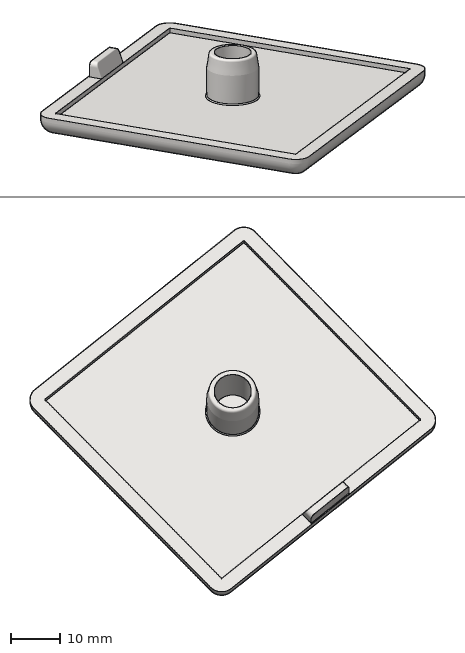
import cadquery as cq

plate_side = 60.0
plate_thickness = 4.0
edge_radius = 3.0
rim_width = 3.0
recess_depth = 1.0
floor_z = plate_thickness - recess_depth

total_height = 12.5
post_radius = 5.3
bore_radius = 7.5 / 2
foot_flare = 0.25
taper_start_z = 9.3
tip_radius = 4.85
lip_round = 0.5

tab_width = 10.3
tab_height = 3.2
tab_top_z = plate_thickness + tab_height
tab_setback = 0.25
tab_top_length = 1.6
tab_corner_radius = 1.0
tab_tip_round = 0.25


def make_plate():
    """Plate with a rounded underside and a shallow square recess on top."""
    blank = cq.Workplane("XY").box(plate_side, plate_side, plate_thickness, centered=(True, True, False))
    rounded = blank.edges("|Z").fillet(edge_radius).faces("<Z").edges().fillet(edge_radius)
    recess_side = plate_side - 2 * rim_width
    recess = (
        cq.Workplane("XY", origin=(0, 0, floor_z))
        .box(recess_side, recess_side, recess_depth, centered=(True, True, False))
    )
    return rounded.cut(recess)


def make_post():
    """Revolved tube: flared foot, straight body, tapered end and rounded lip."""
    lip_start_z = total_height - lip_round
    return (
        cq.Workplane("XZ")
        .moveTo(bore_radius, floor_z)
        .lineTo(post_radius + foot_flare, floor_z)
        .lineTo(post_radius, floor_z + foot_flare)
        .lineTo(post_radius, taper_start_z)
        .lineTo(tip_radius, lip_start_z)
        .radiusArc((tip_radius - lip_round, total_height), -lip_round)
        .lineTo(bore_radius, total_height)
        .close()
        .revolve(360, (0, 0, 0), (0, 1, 0))
    )


def make_tab():
    """Upright tab with a sloping inner face that ends at the recess edge."""
    outer_x = -plate_side / 2 + tab_setback
    inner_x = -plate_side / 2 + rim_width
    wedge = (
        cq.Workplane("XZ")
        .moveTo(outer_x, floor_z)
        .lineTo(inner_x, floor_z)
        .lineTo(inner_x, plate_thickness)
        .lineTo(outer_x + tab_top_length, tab_top_z)
        .lineTo(outer_x, tab_top_z)
        .close()
        .extrude(tab_width / 2, both=True)
    )
    rounded = wedge.faces(">Z").edges("|X").fillet(tab_corner_radius)
    return rounded.faces(">Z").edges(">X").fillet(tab_tip_round)


result = make_plate().union(make_post()).union(make_tab())